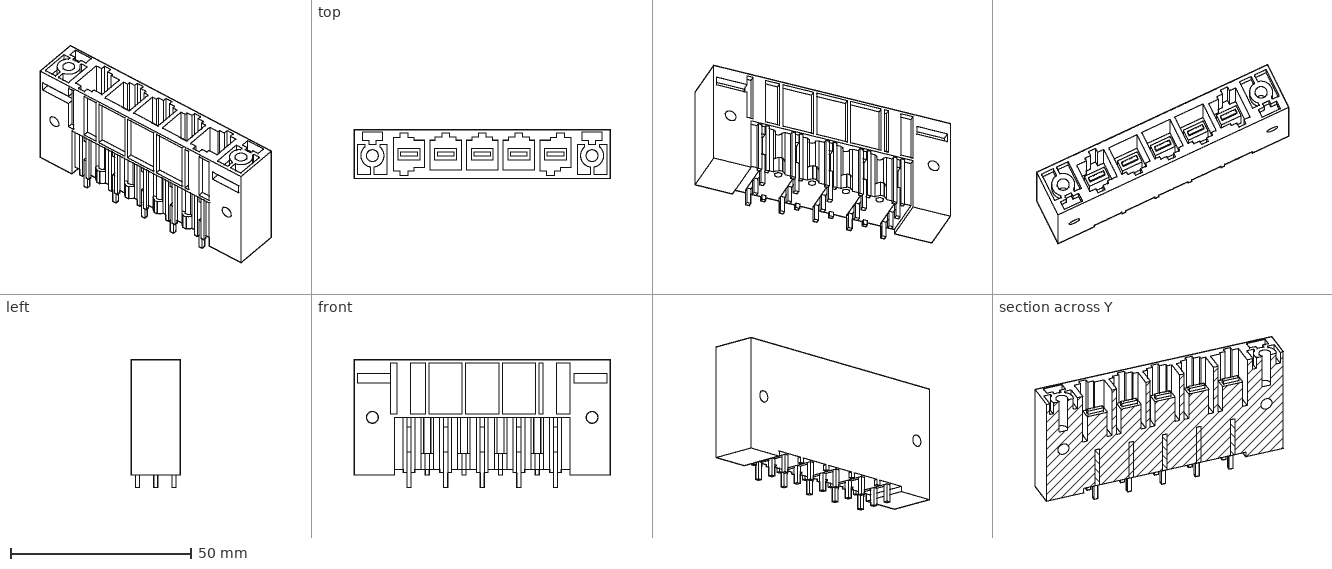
import cadquery as cq
import math

pitch = 10.16
contact_count = 5
length = 7 * pitch
width = 13.6
height = 32.0
front = -width / 2
contact_xs = [(i - (contact_count - 1) / 2) * pitch for i in range(contact_count)]
gap_xs = [x + pitch / 2 for x in contact_xs[:-1]]
screw_xs = [-3 * pitch, 3 * pitch]

recess_half_length = 24.3
recess_top = 16.0
recess_y = -5.3
central_floor = 1.5

leg_size = 1.2
leg_pitch = 5.08
leg_length = 3.5
leg_front = -leg_pitch - leg_size / 2
shoulder_z = 6.4
neck_top = 13.3
neck_depth = 8.0
blade_width = 4.6
blade_thickness = 1.1
blade_top = 26.0

guide_width = 3.3
guide_front = -6.3
guide_bottom = 0.65

tube_y = -4.5
tube_inner_radius = 1.0
tube_half_width = 1.73
tube_top = 6.0
groove_mouth_y = -4.85
groove_mouth_half = 0.94
key_rib_width = 1.16
key_rib_front = -6.55
foot_depth = 1.0

chamber_floor = 17.0
chamber_half = 4.35
chamber_back = 3.98
ledge_depth = 0.2
ledge_z = 20.0
key_top_y = 5.9
middle_front = -4.4
middle_step_half = 2.9
middle_step_y = 4.8
middle_key_half = 1.05
end_step_x = 1.4
end_key_left = -2.45
end_key_right = -0.3
end_side_y = 4.6
end_low_front = -3.75
end_key_front = -5.85
sleeve_length = 6.1
sleeve_width = 3.2
sleeve_top = 25.0

panel_bottom = 16.9
panel_top = 31.15
panel_depth = 1.5
divider_width = 1.0
key_cover_left = -3.4
key_cover_right = 0.35
left_panel_start = -25.5

boss_y = -0.4
boss_radius = 3.2
screw_radius = 1.65
screw_depth = 10.0
cross_hole_radius = 1.6
cross_hole_z = 16.0
pocket_depth = 3.5
pocket_half = 4.1
pocket_front = -5.7
pocket_back = 2.7
boss_web_half = 2.05
boss_rib_half = 0.5
tee_half = 2.8
tee_stem_half = 1.0
tee_front = 3.75
tee_back = 6.15
slot_centre = 30.08
slot_half = 4.58
slot_bottom = 25.5
slot_top = 28.15
slot_depth = 2.3


def block(x0, x1, y0, y1, z0, z1):
    return cq.Workplane("XY").box(x1 - x0, y1 - y0, z1 - z0, centered=False).translate((x0, y0, z0))


def centred_block(x, half, y0, y1, z0, z1):
    return block(x - half, x + half, y0, y1, z0, z1)


def prism(points, z0, z1):
    return cq.Workplane("XY", origin=(0, 0, z0)).polyline(points).close().extrude(z1 - z0)


def contact(x):
    """Plate with three solder legs, a narrower neck and a blade turned across it."""
    half = leg_size / 2
    body = centred_block(x, half, leg_front, -leg_front, central_floor, shoulder_z)
    body = body.union(centred_block(x, half, -neck_depth / 2, neck_depth / 2, shoulder_z, neck_top))
    for y in (-leg_pitch, 0, leg_pitch):
        body = body.union(centred_block(x, half, y - half, y + half, -leg_length, central_floor))
    blade = centred_block(
        x, blade_width / 2, -blade_thickness / 2, blade_thickness / 2, neck_top, blade_top
    )
    return body.union(blade)


def middle_chamber(x):
    """Chamber with a key centred in its stepped back wall."""
    half_outline = [
        (chamber_half, middle_front),
        (chamber_half, chamber_back),
        (middle_step_half, chamber_back),
        (middle_step_half, middle_step_y),
        (middle_key_half, middle_step_y),
        (middle_key_half, key_top_y),
    ]
    outline = half_outline + [(-px, py) for px, py in reversed(half_outline)]
    chamber = prism(outline, chamber_floor, height)
    for x0, x1 in ((-chamber_half, -middle_step_half), (middle_step_half, chamber_half)):
        chamber = chamber.cut(back_ledge(x0, x1))
    return chamber.translate((x, 0, 0))


def end_chamber(x, back_side):
    """Chamber keyed front and back; back_side = -1 mirrors the back wall in X."""
    back = [
        (-chamber_half, end_side_y),
        (end_key_left, end_side_y),
        (end_key_left, key_top_y),
        (end_key_right, key_top_y),
        (end_key_right, end_side_y),
        (end_step_x, end_side_y),
        (end_step_x, chamber_back),
        (chamber_half, chamber_back),
    ]
    if back_side < 0:
        back = [(-px, py) for px, py in reversed(back)]
    front_wall = [
        (chamber_half, end_low_front),
        (end_step_x, end_low_front),
        (end_step_x, -end_side_y),
        (end_key_right, -end_side_y),
        (end_key_right, end_key_front),
        (end_key_left, end_key_front),
        (end_key_left, -end_side_y),
        (-chamber_half, -end_side_y),
    ]
    chamber = prism(back + front_wall, chamber_floor, height)
    x0, x1 = sorted((back_side * end_step_x, back_side * chamber_half))
    chamber = chamber.cut(back_ledge(x0, x1))
    return chamber.translate((x, 0, 0))


def back_ledge(x0, x1):
    """Shallow ledge left standing low on a chamber's back wall."""
    return block(x0, x1, chamber_back - ledge_depth, chamber_back, chamber_floor, ledge_z)


def sleeve(x):
    """Wall around the lower part of a blade."""
    return centred_block(
        x, sleeve_length / 2, -sleeve_width / 2, sleeve_width / 2, chamber_floor, sleeve_top
    )


def front_panels():
    """Sunken panels between the dividers, interrupted where they pass the end chambers' keys."""
    first_x, last_x = contact_xs[0], contact_xs[-1]
    bay_half = (pitch - divider_width) / 2
    spans = [(x - bay_half, x + bay_half) for x in contact_xs[1:-1]]
    spans += [
        (left_panel_start, first_x + key_cover_left),
        (first_x + key_cover_right, first_x + bay_half),
        (last_x - bay_half, last_x + key_cover_left),
        (last_x + key_cover_right, recess_half_length),
    ]
    panels = cq.Workplane("XY")
    for x0, x1 in spans:
        panels = panels.add(block(x0, x1, front, front + panel_depth, panel_bottom, panel_top))
    return panels.combine()


def groove(x):
    """Flared groove from the recess into a tube's bore, above the closed part of the tube."""
    outline = [
        (x - tube_half_width, recess_y),
        (x - groove_mouth_half, groove_mouth_y),
        (x - groove_mouth_half, tube_y),
        (x + groove_mouth_half, tube_y),
        (x + groove_mouth_half, groove_mouth_y),
        (x + tube_half_width, recess_y),
    ]
    return prism(outline, tube_top, recess_top)


def tube_shell(x):
    """Closed front of a tube, concentric with its bore, with a key rib down the middle."""
    outer_radius = math.hypot(tube_half_width, recess_y - tube_y)
    shell = (
        cq.Workplane("XY", origin=(x, 0, central_floor))
        .moveTo(-tube_half_width, recess_y)
        .threePointArc((0, tube_y - outer_radius), (tube_half_width, recess_y))
        .close()
        .extrude(tube_top - central_floor)
    )
    key_rib = centred_block(x, key_rib_width / 2, key_rib_front, recess_y, central_floor, tube_top)
    return shell.union(key_rib)


def bore(x):
    return (
        cq.Workplane("XY", origin=(x, tube_y, central_floor))
        .circle(tube_inner_radius)
        .extrude(recess_top - central_floor)
    )


def foot(x):
    """Small foot under the rear wall that reaches the board."""
    return centred_block(x, key_rib_width / 2, -front - foot_depth, -front, 0, central_floor)


def guide(x):
    """Pair of ribs either side of a front leg."""
    rib = centred_block(x, guide_width / 2, guide_front, recess_y, guide_bottom, recess_top)
    return rib.cut(centred_block(x, leg_size / 2, guide_front, leg_front, guide_bottom, recess_top))


def leg_window(x):
    """Opening in front of a contact's neck."""
    return centred_block(x, leg_size / 2, guide_front, -neck_depth / 2, shoulder_z, neck_top)


def flange_cuts(x):
    """Pockets around a screw boss, its hole, the cross hole and the slot in the front face."""
    pocket_floor = height - pocket_depth
    side_pockets = centred_block(x, pocket_half, pocket_front, pocket_back, pocket_floor, height)
    boss = (
        cq.Workplane("XY", origin=(x, boss_y, pocket_floor))
        .circle(boss_radius)
        .extrude(pocket_depth)
    )
    side_pockets = side_pockets.cut(boss)
    side_pockets = side_pockets.cut(
        centred_block(x, boss_web_half, boss_y, pocket_back, pocket_floor, height)
    )
    side_pockets = side_pockets.cut(
        centred_block(x, boss_rib_half, pocket_front, boss_y, pocket_floor, height)
    )
    tee = centred_block(x, tee_half, tee_front, tee_back, pocket_floor, height)
    tee = tee.union(centred_block(x, tee_stem_half, pocket_back, tee_front, pocket_floor, height))
    screw_hole = (
        cq.Workplane("XY", origin=(x, boss_y, height)).circle(screw_radius).extrude(-screw_depth)
    )
    cross_hole = (
        cq.Workplane("XZ", origin=(x, front, cross_hole_z)).circle(cross_hole_radius).extrude(-width)
    )
    slot_x = math.copysign(slot_centre, x)
    slot = centred_block(slot_x, slot_half, front, front + slot_depth, slot_bottom, slot_top)
    return [side_pockets, tee, screw_hole, cross_hole, slot]


contacts = [contact(x) for x in contact_xs]

housing = block(-length / 2, length / 2, front, -front, 0, height)
housing = housing.cut(centred_block(0, recess_half_length, front, recess_y, 0, recess_top))
housing = housing.cut(centred_block(0, recess_half_length, front, -front, 0, central_floor))
housing = housing.cut(front_panels())

for gap_x in gap_xs:
    housing = housing.cut(groove(gap_x)).union(tube_shell(gap_x))
    housing = housing.cut(bore(gap_x)).union(foot(gap_x))

for contact_x in contact_xs[1:-1]:
    housing = housing.cut(middle_chamber(contact_x))
housing = housing.cut(end_chamber(contact_xs[0], 1))
housing = housing.cut(end_chamber(contact_xs[-1], -1))

for screw_x in screw_xs:
    for cut_shape in flange_cuts(screw_x):
        housing = housing.cut(cut_shape)

for contact_x, contact_body in zip(contact_xs, contacts):
    housing = housing.union(sleeve(contact_x)).union(guide(contact_x))
    housing = housing.cut(leg_window(contact_x)).cut(contact_body)

result = cq.Compound.makeCompound([*housing.solids().vals(), *[body.val() for body in contacts]])